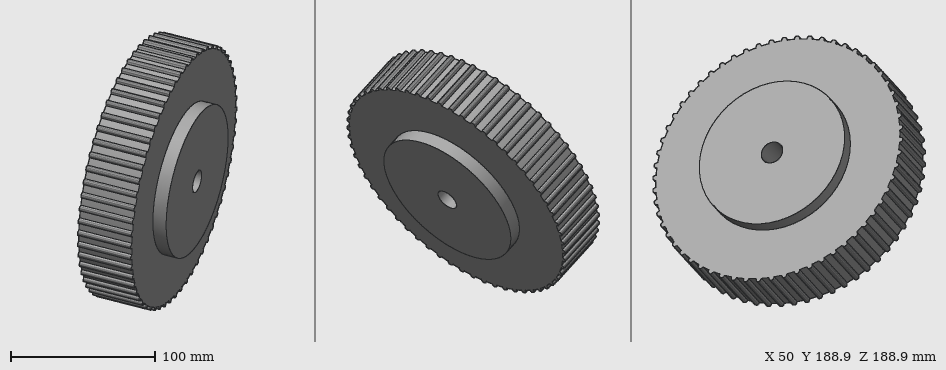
import cadquery as cq
import math

tooth_count = 60
tip_diameter = 189.1
rim_width = 40.0
hub_diameter = 110.0
hub_length = 10.0
bore_diameter = 16.0

groove_depth = 2.3
groove_floor_width = 5.3
flank_angle = 25.0
tip_fillet = 1.1

tip_radius = tip_diameter / 2
root_radius = tip_radius - groove_depth
pitch_angle = 360 / tooth_count
total_width = rim_width + hub_length


def point_on_circle(radius, angle):
    """Point at an angle in degrees, measured from the first groove's centre line."""
    return (radius * math.cos(math.radians(angle)), radius * math.sin(math.radians(angle)))


def half_angle(width, radius):
    """Half of the angle in degrees that a chord of the given width spans."""
    return math.degrees(math.asin(width / 2 / radius))


def at_tooth_tip(edge):
    """True for an edge nearer to the tip circle than to the root circle."""
    centre = edge.Center()
    return math.hypot(centre.y, centre.z) > (tip_radius + root_radius) / 2


def toothed_rim():
    """Disc with straight-flanked, round-cornered teeth between root and tip arcs."""
    groove_mouth_width = groove_floor_width + 2 * groove_depth * math.tan(math.radians(flank_angle))
    floor_half_angle = half_angle(groove_floor_width, root_radius)
    mouth_half_angle = half_angle(groove_mouth_width, tip_radius)

    outline = cq.Workplane("YZ").moveTo(*point_on_circle(tip_radius, -mouth_half_angle))
    for index in range(tooth_count):
        groove = index * pitch_angle
        next_groove = groove + pitch_angle
        outline = (
            outline.lineTo(*point_on_circle(root_radius, groove - floor_half_angle))
            .threePointArc(
                point_on_circle(root_radius, groove),
                point_on_circle(root_radius, groove + floor_half_angle),
            )
            .lineTo(*point_on_circle(tip_radius, groove + mouth_half_angle))
            .threePointArc(
                point_on_circle(tip_radius, groove + pitch_angle / 2),
                point_on_circle(tip_radius, next_groove - mouth_half_angle),
            )
        )
    rim = outline.close().extrude(rim_width)
    return rim.edges("|X").filter(at_tooth_tip).fillet(tip_fillet)


def hub():
    """Plain round hub on the +X face of the rim."""
    return cq.Workplane("YZ", origin=(rim_width, 0, 0)).circle(hub_diameter / 2).extrude(hub_length)


def bore():
    """Shaft hole through the rim and the hub."""
    return cq.Workplane("YZ").circle(bore_diameter / 2).extrude(total_width)


result = toothed_rim().union(hub()).cut(bore())